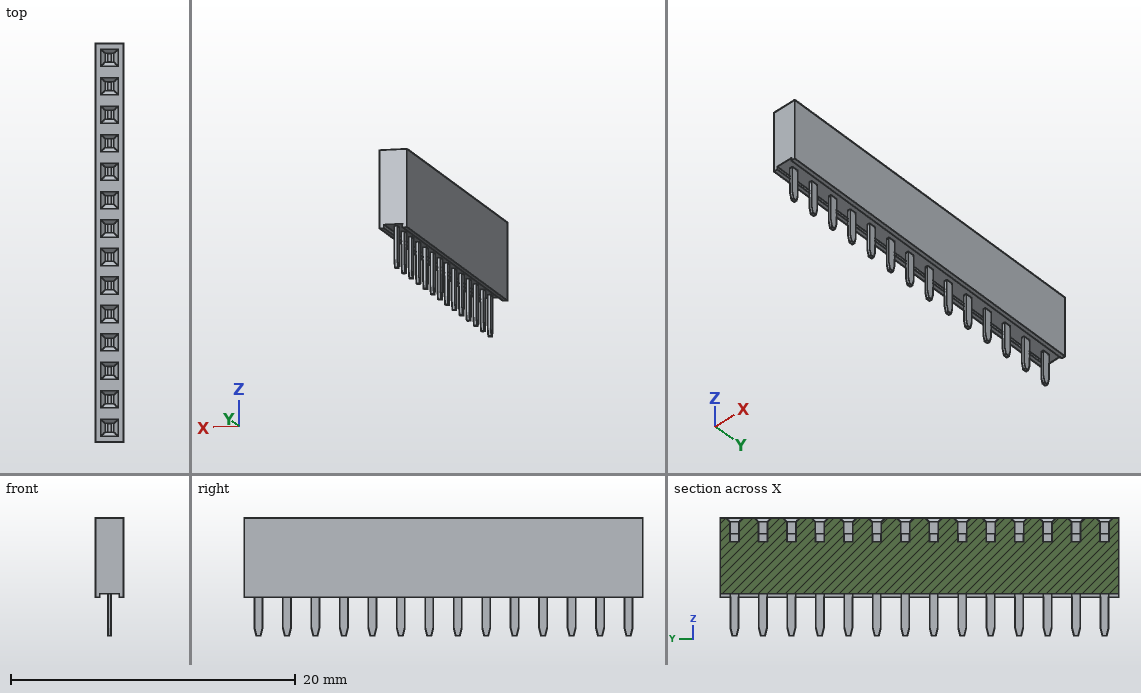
import cadquery as cq

position_count = 14
strip_length = 28.0
total_height = 8.3
pitch = strip_length / position_count
strip_width = pitch

housing_height = 5.6
channel_width = 1.35
channel_depth = 0.25

lead_in_size = 1.2
well_size = 0.62
lead_in_depth = (lead_in_size - well_size) / 2
well_depth = 1.68

pin_thickness = 0.22
pin_width = 0.6
pin_tip_width = 0.3
pin_tip_height = 0.55
pin_top_below_opening = 1.12

pin_bottom = housing_height - total_height
pin_top = housing_height - pin_top_below_opening
well_floor = housing_height - well_depth


def make_housing():
    """Rectangular body with a lengthwise standoff channel underneath."""
    body = cq.Workplane("XY").box(strip_width, strip_length, housing_height, centered=(True, True, False))
    channel = cq.Workplane("XY").box(channel_width, strip_length, channel_depth, centered=(True, True, False))
    return body.cut(channel)


def make_socket(y):
    """Cutter for one opening: a square funnel running into a square well."""
    funnel = (
        cq.Workplane("XY", origin=(0, y, housing_height))
        .rect(lead_in_size, lead_in_size)
        .workplane(offset=-lead_in_depth)
        .rect(well_size, well_size)
        .loft()
    )
    well = (
        cq.Workplane("XY", origin=(0, y, well_floor))
        .rect(well_size, well_size)
        .extrude(well_depth - lead_in_depth)
    )
    return funnel.union(well)


def make_pin(y):
    """Flat blade with a narrowed lower tip, rising into the socket well."""
    half_width = pin_width / 2
    half_tip = pin_tip_width / 2
    shoulder = pin_bottom + pin_tip_height
    outline = [
        (y - half_tip, pin_bottom),
        (y + half_tip, pin_bottom),
        (y + half_width, shoulder),
        (y + half_width, pin_top),
        (y - half_width, pin_top),
        (y - half_width, shoulder),
    ]
    return cq.Workplane("YZ").polyline(outline).close().extrude(pin_thickness / 2, both=True)


result = make_housing()
position_centers = [(index - (position_count - 1) / 2) * pitch for index in range(position_count)]
for center in position_centers:
    result = result.cut(make_socket(center))
for center in position_centers:
    result = result.union(make_pin(center))